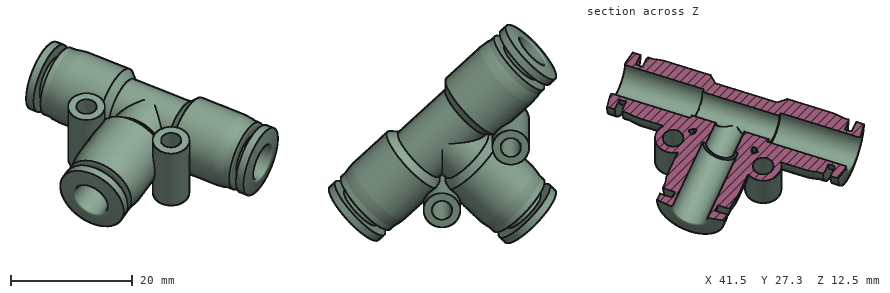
import cadquery as cq

half_run = 20.75
branch_shift = 0.27

body_radius = 6.245
neck_radius = 5.0
band_radius = 5.95
band_face_radius = 5.4
collar_radius = 3.84
flange_radius = 5.955

neck_end = 5.45
shoulder_end = 6.75
taper_start = 14.75
taper_end = 16.65
band_edge = 17.68
body_end = 17.85
flange_start = 18.95
flange_rim = 20.38

face_radius = 3.65
socket_radius = 3.07
bore_radius = 2.5
lip_fillet = 0.3

lug_radius = 3.05
lug_hole_radius = 1.65
lug_x = 7.93
lug_y = -7.95
lug_height = 2 * body_radius


def revolve_about_y(profile):
    return profile.close().revolve(360, (0, 0, 0), (0, 1, 0))


def arm_outside(shift):
    """Stepped solid along +Y, with its stations moved out by shift."""
    profile = (
        cq.Workplane("XY")
        .lineTo(neck_radius, 0)
        .lineTo(neck_radius, neck_end + shift)
        .lineTo(body_radius, shoulder_end + shift)
        .lineTo(body_radius, taper_start + shift)
        .tangentArcPoint((band_radius, taper_end + shift), relative=False)
        .lineTo(band_radius, band_edge + shift)
        .lineTo(band_face_radius, body_end + shift)
        .lineTo(collar_radius, body_end + shift)
        .lineTo(collar_radius, flange_start + shift)
        .lineTo(flange_radius, flange_start + shift)
        .lineTo(flange_radius, flange_rim + shift)
        .lineTo(face_radius, half_run + shift)
        .lineTo(0, half_run + shift)
    )
    return revolve_about_y(profile)


def arm_bore(shift):
    """Tube socket with a rounded mouth, ending at the shoulder, then the narrower bore."""
    end = half_run + shift
    profile = (
        cq.Workplane("XY")
        .lineTo(bore_radius, 0)
        .lineTo(bore_radius, shoulder_end + shift)
        .lineTo(socket_radius, shoulder_end + shift)
        .lineTo(socket_radius, end - lip_fillet)
        .radiusArc((socket_radius + lip_fillet, end), lip_fillet)
        .lineTo(0, end)
    )
    return revolve_about_y(profile)


def upright_cylinder(x, radius):
    """Full-height cylinder on a mounting tube axis."""
    return (
        cq.Workplane("XY", origin=(x, lug_y, -lug_height / 2))
        .circle(radius)
        .extrude(lug_height)
    )


arms = [(90, 0), (-90, 0), (180, branch_shift)]


def turn(shape, angle):
    return shape.rotate((0, 0, 0), (0, 0, 1), angle)


result = cq.Workplane("YZ").circle(neck_radius).extrude(neck_end, both=True)
for angle, shift in arms:
    result = result.union(turn(arm_outside(shift), angle))
for side in (-1, 1):
    result = result.union(upright_cylinder(side * lug_x, lug_radius))

for angle, shift in arms:
    result = result.cut(turn(arm_bore(shift), angle))
for side in (-1, 1):
    result = result.cut(upright_cylinder(side * lug_x, lug_hole_radius))